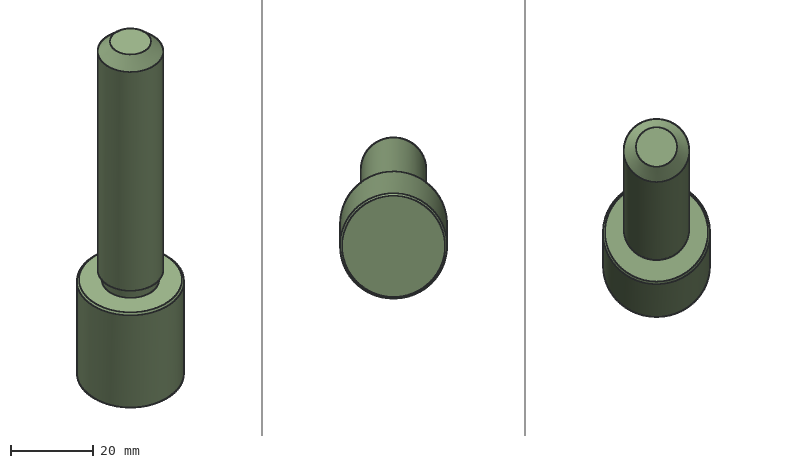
import cadquery as cq

total_length = 105.0
head_length = 30.0
neck_length = 3.0
tip_length = 3.0

head_diameter = 26.0
neck_diameter = 14.0
shank_diameter = 16.0
tip_diameter = 10.0

head_chamfer = 0.5

head = cq.Workplane("XY").circle(head_diameter / 2).extrude(head_length)
head = head.faces("<Z or >Z").chamfer(head_chamfer)

shank_start = head_length + neck_length
tip_start = total_length - tip_length
neck_radius = neck_diameter / 2
shank_radius = shank_diameter / 2
tip_radius = tip_diameter / 2

stem = (
    cq.Workplane("XZ")
    .moveTo(0, head_length)
    .lineTo(neck_radius, head_length)
    .lineTo(neck_radius, shank_start)
    .lineTo(shank_radius, shank_start)
    .lineTo(shank_radius, tip_start)
    .lineTo(tip_radius, total_length)
    .lineTo(0, total_length)
    .close()
    .revolve(360, (0, 0, 0), (0, 1, 0))
)

result = head.union(stem)